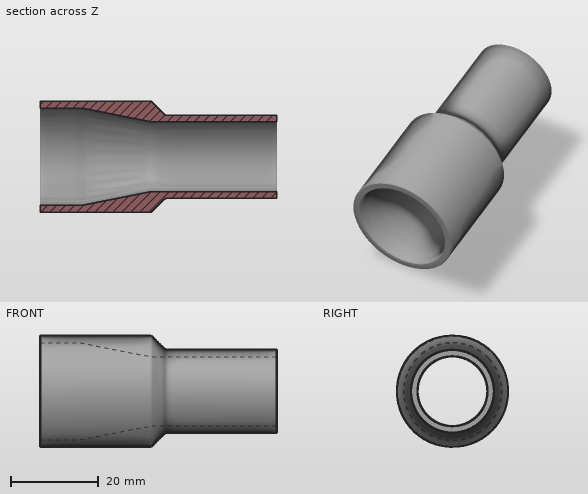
import cadquery as cq
import math

length = 54.0
large_outer_radius = 25.4 / 2
small_outer_radius = 19.05 / 2
large_bore_radius = 22.1 / 2
small_bore_radius = 15.75 / 2

cone_angle = 45
cone_start = 25.35
cone_end = cone_start + (large_outer_radius - small_outer_radius) / math.tan(math.radians(cone_angle))
cone_blend_radius = 0.7

taper_start = 9.45
taper_end = cone_start
taper_blend_radius = 5.95

rim_chamfer = 0.15


def turned_reducer(large_radius, small_radius, reduction_start, reduction_end):
    """Solid of two cylinders joined by a cone, sharp at the cone's two edges."""
    profile = (
        cq.Workplane("XY")
        .lineTo(0, large_radius)
        .lineTo(reduction_start, large_radius)
        .lineTo(reduction_end, small_radius)
        .lineTo(length, small_radius)
        .lineTo(length, 0)
        .close()
    )
    return profile.revolve(360, (0, 0, 0), (1, 0, 0))


body = turned_reducer(large_outer_radius, small_outer_radius, cone_start, cone_end)
body = body.faces("%CONE").edges("%CIRCLE").fillet(cone_blend_radius)

bore = turned_reducer(large_bore_radius, small_bore_radius, taper_start, taper_end)
bore = bore.faces("%CONE").edges("%CIRCLE").fillet(taper_blend_radius)

result = body.cut(bore).faces("<X or >X").edges("%CIRCLE").chamfer(rim_chamfer)